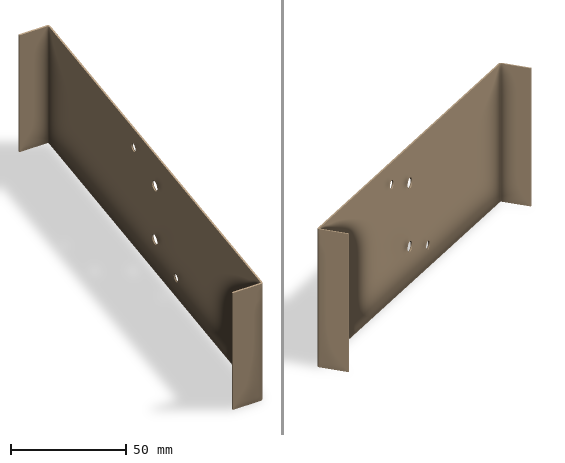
import cadquery as cq

length = 201.5
depth = 15.0
height = 65.0

thickness = 0.8
inner_radius = 0.5
outer_radius = inner_radius + thickness

large_diameter = 5.0
large_offset_z = 15.0
small_diameter = 4.0
small_offset_x = 20.0
small_offset_z = 22.0


def upright_block(width, y_size, corner_radius):
    """Block with its front face at Y = 0 and its two rear upright edges rounded."""
    block = cq.Workplane("XY").box(width, y_size, height, centered=(True, False, True))
    return block.faces(">Y").edges("|Z").fillet(corner_radius)


def web_holes(diameter, centers):
    """Cylinders along Y that run through the whole depth."""
    return cq.Workplane("XZ").pushPoints(centers).circle(diameter / 2).extrude(-depth)


outer = upright_block(length, depth, outer_radius)
inner = upright_block(length - 2 * thickness, depth - thickness, inner_radius)
channel = outer.cut(inner)

large_holes = web_holes(large_diameter, [(0, large_offset_z), (0, -large_offset_z)])
small_holes = web_holes(
    small_diameter,
    [(-small_offset_x, small_offset_z), (small_offset_x, -small_offset_z)],
)

result = channel.cut(large_holes).cut(small_holes)